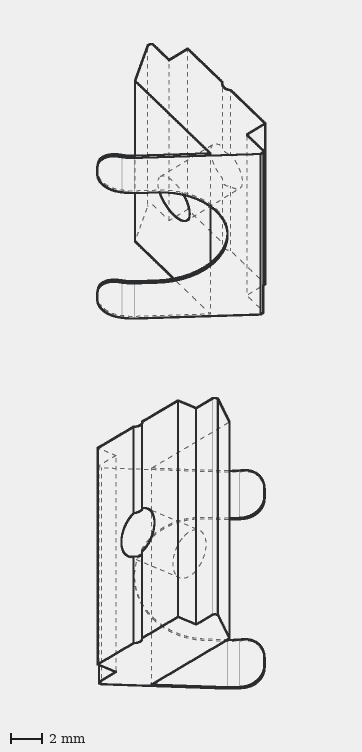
import cadquery as cq
import math

LENGTH = 16.0
WIDTH = 11.62
NECK_WIDTH = 8.0
NECK_HEIGHT = 1.52
BODY_DEPTH = 4.32
WING_EDGE = 0.32
WING_FILLET = 0.16
HOLE_DIAMETER = 3.3
GROOVE_WIDTH = 0.83
GROOVE_DEPTH = 0.2

SHEET = 0.2
TIP_DEPTH = 10.0
BEND_START_X = 1.05
BEND_INNER_RADIUS = 3.2
TIP_ANGLE = math.radians(40)
EAR_WIDTH = 3.5
TIP_FILLET = 1.4
WINDOW_CENTRE_X = 1.92

half_neck = NECK_WIDTH / 2
half_width = WIDTH / 2
flank_top = -NECK_HEIGHT - WING_EDGE
flank_angle = math.atan2(flank_top + BODY_DEPTH, half_width - half_neck)
window_radius = LENGTH / 2 - EAR_WIDTH


def inward(point, angle, distance):
    """Move a point at right angles to a sheet sloping at the given angle, towards the inner side."""
    x, y = point
    return (x - distance * math.sin(angle), y + distance * math.cos(angle))


def flank_point(x):
    """Point on the outer face of the flat part of the spring."""
    return (x, -BODY_DEPTH + (x - half_neck) * math.tan(flank_angle))


def make_body():
    profile = [
        (-half_neck, 0),
        (half_neck, 0),
        (half_neck, -NECK_HEIGHT),
        (half_width, -NECK_HEIGHT),
        (half_width, flank_top),
        (half_neck, -BODY_DEPTH),
        (-half_neck, -BODY_DEPTH),
        (-half_width, flank_top),
        (-half_width, -NECK_HEIGHT),
        (-half_neck, -NECK_HEIGHT),
    ]
    body = cq.Workplane("XY").polyline(profile).close().extrude(LENGTH / 2, both=True)
    wing_corners = cq.selectors.BoxSelector(
        (-WIDTH, -NECK_HEIGHT - WING_EDGE / 2, -LENGTH),
        (WIDTH, -NECK_HEIGHT + WING_EDGE / 2, LENGTH),
    )
    inner_corners = cq.selectors.BoxSelector(
        (-half_neck - WING_EDGE, -BODY_DEPTH, -LENGTH),
        (half_neck + WING_EDGE, 0, LENGTH),
    )
    return body.edges("|Z").edges(wing_corners - inner_corners).fillet(WING_FILLET)


def cut_groove(body):
    radius = (GROOVE_WIDTH**2 / 4 + GROOVE_DEPTH**2) / (2 * GROOVE_DEPTH)
    groove = (
        cq.Workplane("XY")
        .center(0, radius - GROOVE_DEPTH)
        .circle(radius)
        .extrude(LENGTH / 2, both=True)
    )
    return body.cut(groove)


def cut_hole(body):
    hole = cq.Workplane("XZ").circle(HOLE_DIAMETER / 2).extrude(BODY_DEPTH)
    return body.cut(hole)


def make_spring():
    """Bent sheet of full length, with square corners."""
    outer_radius = BEND_INNER_RADIUS + SHEET
    root = flank_point(half_neck)
    bend_start = flank_point(BEND_START_X)
    bend_centre = inward(bend_start, flank_angle, outer_radius)

    def bend_point(angle, radius):
        return inward(bend_centre, angle, -radius)

    middle_angle = (flank_angle + TIP_ANGLE) / 2
    bend_end = bend_point(TIP_ANGLE, outer_radius)
    tip_run = (bend_end[1] + TIP_DEPTH) / math.tan(TIP_ANGLE)
    tip = (bend_end[0] - tip_run, -TIP_DEPTH)
    spring = (
        cq.Workplane("XY")
        .moveTo(*root)
        .lineTo(*bend_start)
        .threePointArc(bend_point(middle_angle, outer_radius), bend_end)
        .lineTo(*tip)
        .lineTo(*inward(tip, TIP_ANGLE, SHEET))
        .lineTo(*bend_point(TIP_ANGLE, BEND_INNER_RADIUS))
        .threePointArc(
            bend_point(middle_angle, BEND_INNER_RADIUS),
            bend_point(flank_angle, BEND_INNER_RADIUS),
        )
        .lineTo(*inward(root, flank_angle, SHEET))
        .close()
        .extrude(LENGTH / 2, both=True)
    )
    return spring


def make_window(depth):
    """Round-ended slot square to the flank, sunk to a depth and open towards the free edge."""
    centre_x, centre_y = flank_point(WINDOW_CENTRE_X)
    plane = cq.Plane(
        origin=(centre_x, centre_y, 0),
        xDir=(math.cos(flank_angle), math.sin(flank_angle), 0),
        normal=(-math.sin(flank_angle), math.cos(flank_angle), 0),
    )
    return (
        cq.Workplane(plane)
        .moveTo(-TIP_DEPTH, -window_radius)
        .lineTo(0, -window_radius)
        .threePointArc((window_radius, 0), (0, window_radius))
        .lineTo(-TIP_DEPTH, window_radius)
        .close()
        .extrude(depth)
    )


def round_ears(spring):
    """Round the two corners at the free end of each ear."""
    tip_corners = cq.selectors.BoxSelector(
        (-WIDTH, -TIP_DEPTH - SHEET, -LENGTH),
        (WIDTH, -TIP_DEPTH + SHEET, LENGTH),
    )
    return spring.edges(tip_corners).edges("not |Z").fillet(TIP_FILLET)


body = cut_hole(cut_groove(make_body()))
body = body.cut(make_window(SHEET))
spring = round_ears(make_spring().cut(make_window(TIP_DEPTH)))
result = body.union(spring).clean()